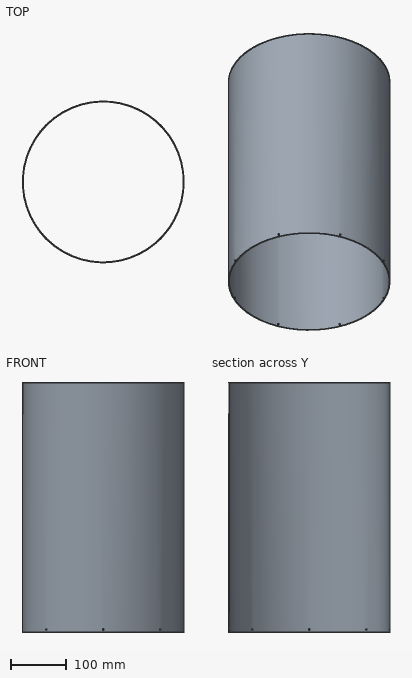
import cadquery as cq

height = 447.7
outer_diameter = 290.0
inner_diameter = 287.0

hole_diameter = 2.4
hole_height = 5.0
hole_count = 8


def tube():
    """Plain open tube along Z."""
    return (
        cq.Workplane("XY")
        .circle(outer_diameter / 2)
        .circle(inner_diameter / 2)
        .extrude(height)
    )


def radial_hole(angle):
    """Cutter running outward from the tube axis at the given angle about Z."""
    return (
        cq.Workplane("YZ")
        .center(0, hole_height)
        .circle(hole_diameter / 2)
        .extrude(outer_diameter)
        .rotate((0, 0, 0), (0, 0, 1), angle)
    )


result = tube()
for index in range(hole_count):
    result = result.cut(radial_hole(index * 360 / hole_count))